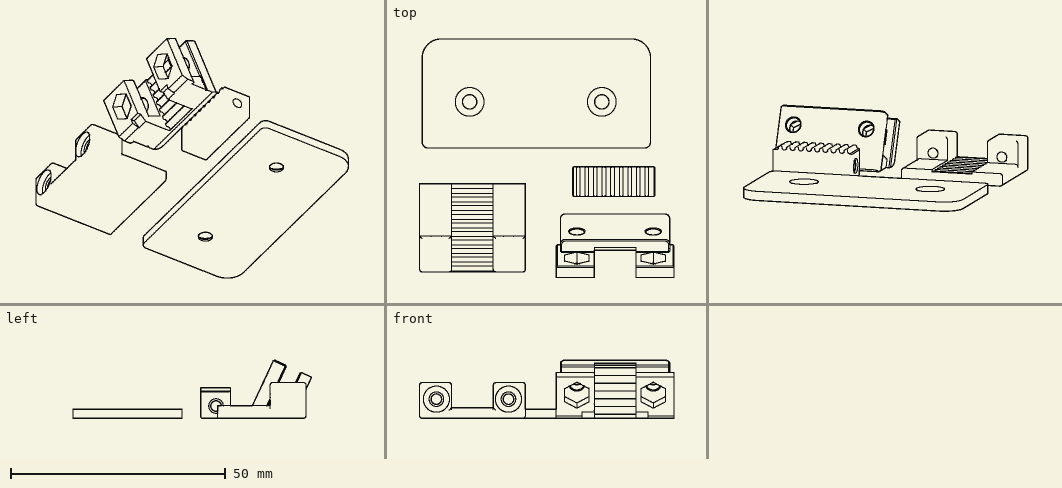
import cadquery as cq
import math


OVERSHOOT = 1.0

TOOTH_PITCH = 2.0
TOOTH_DEPTH = 0.764
ROOT_RADIUS = 0.58
TIP_RADIUS = 0.167
BELT_WIDTH = 9.7

PILOT_DIAMETER = 2.4
PILOT_ENTRY_DIAMETER = 3.4
PILOT_ENTRY_DEPTH = 0.5

PLATE_X = 0.6
PLATE_Y = 30.18
PLATE_LENGTH = 53.3
PLATE_WIDTH = 25.5
PLATE_THICKNESS = 2.2
PLATE_BACK_RADIUS = 4.5
PLATE_FRONT_RADIUS = 1.5
PLATE_HOLE_DIAMETER = 3.3
PLATE_SINK_DIAMETER = 6.7
PLATE_SINK_ANGLE = 90
PLATE_HOLE_SPACING = 30.8
PLATE_HOLE_X = 11.1
PLATE_HOLE_Y = 10.8

BASE_Y = 1.3
BASE_WIDTH = 24.7
BASE_LENGTH = 20.6
BASE_PLATE_HEIGHT = 3.0
BASE_HEIGHT = 8.4
BASE_SLOT_DEPTH = 0.5
BASE_FILLET = 0.7
BLOCK_LENGTH = 8.4
BASE_HOLE_SPACING = 16.8
BASE_HOLE_Z = 4.5
HEAD_DIAMETER = 6.1
HEAD_DEPTH = 1.5
BASE_FIRST_GROOVE = 0.9

BAR_X = 35.7
BAR_Y = 18.9
BAR_LENGTH = 19.2
BAR_WIDTH = 7.0
BAR_HEIGHT = 7.2
BAR_FILLET = 0.5
BAR_TOP_FILLET = 0.3
BAR_END_BEVEL = 0.25
BAR_HOLE_Y = 3.4
BAR_HOLE_Z = 2.9
BAR_FIRST_GROOVE = 0.3

COVER_X = 45.59
COVER_TILT = 25.0
COVER_HEIGHT = 13.61
COVER_DEPTH = 9.75
COVER_PLATE_SPAN = 25.5
COVER_PLATE_LENGTH = 14.3
COVER_PLATE_THICKNESS = 3.35
COVER_FLOOR_DROP = 9.9
COVER_SIDE_FILLET = 1.2
COVER_CHAMFER = 0.3
COVER_SLOT_DEPTH = 0.55
COVER_FIRST_GROOVE = 1.46
COVER_HOLE_SPACING = 17.8
COVER_HOLE_DROP = 4.65
COVER_HOLE_DIAMETER = 3.4
COVER_HOLE_CHAMFER = 0.2
ARM_SPAN = 27.5
ARM_THICKNESS = 2.9
ARM_STRAIGHT = 9.98
NUT_FLATS = 5.75
RELIEF_SPAN = 15.4
RELIEF_HEIGHT = 1.5
RELIEF_DEPTH = 2.2
RELIEF_TILT = 42.0


def box(x, y, z):
    """Box between the (low, high) pairs of each axis."""
    size = (x[1] - x[0], y[1] - y[0], z[1] - z[0])
    return cq.Workplane("XY").box(*size, centered=False).translate((x[0], y[0], z[0]))


def groove(width):
    """One belt groove along X, centred on the origin and sunk below z = 0."""
    half = width / 2
    mouth = ROOT_RADIUS + TIP_RADIUS
    root_centre = TOOTH_DEPTH - ROOT_RADIUS
    tip_mid = TIP_RADIUS * (1 - math.sqrt(0.5))
    root_mid = ROOT_RADIUS * math.sqrt(0.5)
    return (
        cq.Workplane("YZ", origin=(-half, 0, 0))
        .moveTo(-mouth, OVERSHOOT)
        .lineTo(-mouth, 0)
        .threePointArc((-ROOT_RADIUS - tip_mid, -tip_mid), (-ROOT_RADIUS, -TIP_RADIUS))
        .lineTo(-ROOT_RADIUS, -root_centre)
        .threePointArc((-root_mid, -root_centre - root_mid), (0, -TOOTH_DEPTH))
        .threePointArc((root_mid, -root_centre - root_mid), (ROOT_RADIUS, -root_centre))
        .lineTo(ROOT_RADIUS, -TIP_RADIUS)
        .threePointArc((ROOT_RADIUS + tip_mid, -tip_mid), (mouth, 0))
        .lineTo(mouth, OVERSHOOT)
        .close()
        .extrude(width)
    )


def groove_count(length, first):
    return math.floor((length - first) / TOOTH_PITCH) + 1


def groove_row(width, length, first):
    """Grooves spaced along +Y, the first one centred at y = first."""
    single = groove(width)
    places = [first + i * TOOTH_PITCH for i in range(groove_count(length, first))]
    copies = [single.translate((0, y, 0)).val() for y in places]
    return cq.Workplane(obj=cq.Compound.makeCompound(copies))


def pilot_hole(depth):
    """Screw pilot along +X from the origin, widened at its mouth."""
    entry = cq.Workplane("YZ").circle(PILOT_ENTRY_DIAMETER / 2).extrude(PILOT_ENTRY_DEPTH)
    return cq.Workplane("YZ").circle(PILOT_DIAMETER / 2).extrude(depth).union(entry)


def make_mounting_plate():
    body = cq.Workplane("XY").box(PLATE_LENGTH, PLATE_WIDTH, PLATE_THICKNESS, centered=False)
    body = body.edges("|Z and >Y").fillet(PLATE_BACK_RADIUS)
    body = body.edges("|Z and <Y").fillet(PLATE_FRONT_RADIUS)
    holes = [(PLATE_HOLE_X + offset, PLATE_HOLE_Y) for offset in (0, PLATE_HOLE_SPACING)]
    body = (
        body.faces(">Z")
        .workplane(origin=(0, 0, PLATE_THICKNESS))
        .pushPoints(holes)
        .cskHole(PLATE_HOLE_DIAMETER, PLATE_SINK_DIAMETER, PLATE_SINK_ANGLE)
    )
    return body.translate((PLATE_X, PLATE_Y, 0))


def make_base():
    half = BASE_WIDTH / 2
    slot = BELT_WIDTH / 2
    lands = BASE_PLATE_HEIGHT - BASE_SLOT_DEPTH

    body = box((-half, half), (0, BASE_LENGTH), (0, BASE_PLATE_HEIGHT))
    body = body.union(box((-half, half), (0, BLOCK_LENGTH), (0, BASE_HEIGHT)))
    body = body.cut(
        box((-slot, slot), (-OVERSHOOT, BASE_LENGTH + OVERSHOOT), (lands, BASE_HEIGHT + OVERSHOOT))
    )

    rounded = body.faces("<Y or >Z").edges()
    rounded = rounded.add(body.faces("<X or >X").edges("|Y"))
    distinct = {edge.hashCode(): edge for edge in rounded.vals()}
    body = body.newObject(list(distinct.values())).fillet(BASE_FILLET)

    body = body.cut(groove_row(BELT_WIDTH, BASE_LENGTH, BASE_FIRST_GROOVE).translate((0, 0, lands)))

    pilot = pilot_hole(BLOCK_LENGTH).rotate((0, 0, 0), (0, 0, 1), 90).translate((0, HEAD_DEPTH, 0))
    head = cq.Workplane("XZ").circle(HEAD_DIAMETER / 2).extrude(-HEAD_DEPTH)
    screw = pilot.union(head)
    for x in (-BASE_HOLE_SPACING / 2, BASE_HOLE_SPACING / 2):
        body = body.cut(screw.translate((x, 0, BASE_HOLE_Z)))
    return body.translate((half, BASE_Y, 0))


def bar_end_step(step_x, end_x):
    """Cutter that lowers one end of the bar to the groove roots and bevels its end edge."""
    outward = math.copysign(1, end_x - step_x)
    root = BAR_HEIGHT - TOOTH_DEPTH
    top = BAR_HEIGHT + OVERSHOOT
    reach = BAR_END_BEVEL + OVERSHOOT
    return (
        cq.Workplane("XZ", origin=(0, -OVERSHOOT, 0))
        .moveTo(step_x, top)
        .lineTo(step_x, root)
        .lineTo(end_x - outward * BAR_END_BEVEL, root)
        .lineTo(end_x + outward * OVERSHOOT, root - reach)
        .lineTo(end_x + outward * OVERSHOOT, top)
        .close()
        .extrude(-BAR_WIDTH - 2 * OVERSHOOT)
    )


def make_bar():
    last_groove = BAR_FIRST_GROOVE + TOOTH_PITCH * (groove_count(BAR_LENGTH, BAR_FIRST_GROOVE) - 1)

    body = cq.Workplane("XY").box(BAR_LENGTH, BAR_WIDTH, BAR_HEIGHT, centered=False)
    body = body.edges("|Z or <Z").fillet(BAR_FILLET)
    body = body.cut(bar_end_step(BAR_FIRST_GROOVE, 0))
    body = body.cut(bar_end_step(last_groove, BAR_LENGTH))
    body = body.faces(">Z").edges("|X").fillet(BAR_TOP_FILLET)

    row = groove_row(BAR_WIDTH + 2 * OVERSHOOT, BAR_LENGTH, BAR_FIRST_GROOVE)
    row = row.rotate((0, 0, 0), (0, 0, 1), -90)
    body = body.cut(row.translate((0, BAR_WIDTH / 2, BAR_HEIGHT)))

    body = body.cut(pilot_hole(BAR_LENGTH).translate((0, BAR_HOLE_Y, BAR_HOLE_Z)))
    return body.translate((BAR_X, BAR_Y, 0))


def cover_screw_hole():
    """Plate hole along -Y, chamfered at both mouths, and the hexagonal nut opening in the arm."""
    radius = COVER_HOLE_DIAMETER / 2
    hole = (
        cq.Workplane("XZ")
        .circle(radius + COVER_HOLE_CHAMFER)
        .workplane(offset=COVER_HOLE_CHAMFER)
        .circle(radius)
        .loft(ruled=True)
    )
    far_mouth = hole.mirror("XZ").translate((0, -COVER_PLATE_THICKNESS, 0))
    bore = cq.Workplane("XZ").circle(radius).extrude(COVER_PLATE_THICKNESS)
    nut_corners = NUT_FLATS / math.cos(math.radians(30))
    nut = (
        cq.Workplane("XZ", origin=(0, -COVER_DEPTH - OVERSHOOT, 0))
        .transformed(rotate=(0, 0, 30))
        .polygon(6, nut_corners)
        .extrude(-ARM_THICKNESS - 2 * OVERSHOOT)
    )
    return hole.union(far_mouth).union(bore).union(nut)


def make_cover():
    plate_half = COVER_PLATE_SPAN / 2
    arm_half = ARM_SPAN / 2
    slot = BELT_WIDTH / 2
    below = -2 * COVER_HEIGHT
    plate_inside = -COVER_PLATE_THICKNESS
    arm_inside = ARM_THICKNESS - COVER_DEPTH
    arm_front = -COVER_DEPTH
    lands = plate_inside + COVER_SLOT_DEPTH

    plate = box((-plate_half, plate_half), (plate_inside, 0), (-COVER_PLATE_LENGTH, 0))
    plate = plate.edges("|Z and >Y").fillet(COVER_SIDE_FILLET)
    plate = plate.edges(">Z or (|Z and <Y)").chamfer(COVER_CHAMFER)

    floor = box(
        (-plate_half, plate_half), (arm_inside, plate_inside), (-COVER_PLATE_LENGTH, -COVER_FLOOR_DROP)
    )

    arm = box((-arm_half, arm_half), (arm_front, arm_inside), (below, 0))
    arm = arm.faces(">Y").edges().chamfer(COVER_CHAMFER)
    bevel = (
        cq.Workplane("YZ", origin=(-arm_half, 0, 0))
        .moveTo(arm_front, -ARM_STRAIGHT)
        .lineTo(arm_inside, -ARM_STRAIGHT - ARM_THICKNESS)
        .lineTo(arm_inside, below)
        .lineTo(arm_front, below)
        .close()
        .extrude(ARM_SPAN)
    )
    body = plate.union(floor).union(arm.cut(bevel))

    body = body.cut(box((-slot, slot), (arm_front - OVERSHOOT, lands), (below, OVERSHOOT)))
    tip_groove = TOOTH_PITCH - COVER_FIRST_GROOVE
    tip_land = tip_groove - ROOT_RADIUS - TIP_RADIUS
    body = body.cut(box((-slot, slot), (plate_inside, lands + TOOTH_DEPTH), (tip_land, OVERSHOOT)))
    row = groove_row(BELT_WIDTH, COVER_PLATE_LENGTH, COVER_FIRST_GROOVE)
    row = row.rotate((0, 0, 0), (1, 0, 0), -90).rotate((0, 0, 0), (0, 0, 1), 180)
    body = body.cut(row.translate((0, lands, 0)))

    screw = cover_screw_hole()
    for x in (-COVER_HOLE_SPACING / 2, COVER_HOLE_SPACING / 2):
        body = body.cut(screw.translate((x, 0, -COVER_HOLE_DROP)))

    tilt = math.radians(COVER_TILT)
    tip_y = COVER_DEPTH * math.cos(tilt)
    tip_z = COVER_HEIGHT + COVER_CHAMFER * math.sin(tilt)
    body = body.rotate((0, 0, 0), (1, 0, 0), COVER_TILT).translate((0, tip_y, tip_z))
    body = body.cut(box((-ARM_SPAN, ARM_SPAN), (below, -below), (below, 0)))

    arm_tip_z = tip_z - COVER_DEPTH * math.sin(tilt)
    arm_y = (arm_tip_z - RELIEF_HEIGHT) * math.tan(tilt)
    foot_y = arm_y + RELIEF_DEPTH
    ledge_y = foot_y - RELIEF_HEIGHT * math.tan(math.radians(RELIEF_TILT))
    relief = (
        cq.Workplane("YZ", origin=(-RELIEF_SPAN / 2, 0, 0))
        .moveTo(-OVERSHOOT, 0)
        .lineTo(foot_y, 0)
        .lineTo(ledge_y, RELIEF_HEIGHT)
        .lineTo(-OVERSHOOT, RELIEF_HEIGHT)
        .close()
        .extrude(RELIEF_SPAN)
    )
    return body.cut(relief).translate((COVER_X, 0, 0))


mounting_plate = make_mounting_plate()
base = make_base()
bar = make_bar()
cover = make_cover()

result = cq.Compound.makeCompound([mounting_plate.val(), base.val(), bar.val(), cover.val()])